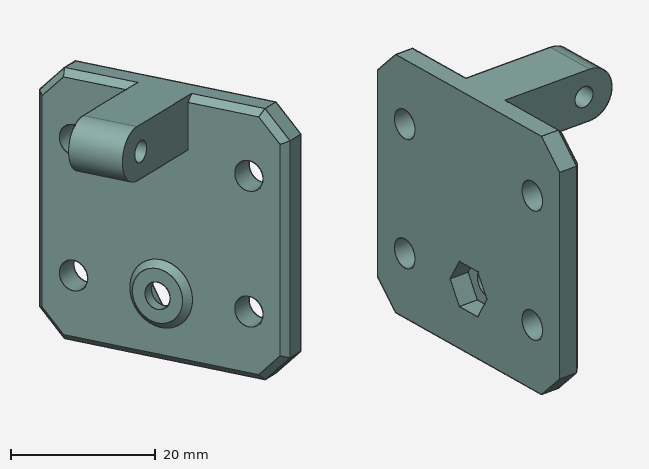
import cadquery as cq
import math

plate_size = 40.0
plate_thickness = 4.0
corner_cut = 4.0
edge_chamfer = 1.0

mount_hole_diameter = 4.5
mount_spacing_x = 28.0
mount_spacing_z = 20.0

lug_width = 8.6
lug_height = 8.0
lug_tip_reach = 22.0
pivot_reach = 17.0
pivot_hole_diameter = 3.2
lug_radius = lug_height / 2
lug_axis_z = plate_size / 2 - lug_radius

boss_base_diameter = 10.0
boss_height = 1.0
boss_hole_diameter = 4.0
boss_z = -mount_spacing_z / 2

nut_across_flats = 7.0
nut_across_corners = nut_across_flats / math.cos(math.pi / 6)
nut_pocket_depth = 3.2


def make_plate():
    """Square plate with cut corners and a chamfered front rim."""
    return (
        cq.Workplane("XZ")
        .rect(plate_size, plate_size)
        .extrude(plate_thickness)
        .edges("|Y")
        .chamfer(corner_cut)
        .faces("<Y")
        .chamfer(edge_chamfer)
    )


def make_lug():
    """Arm from the plate's back face to a half-round tip."""
    arc_start_y = -(lug_tip_reach - lug_radius)
    lug_top = lug_axis_z + lug_radius
    lug_bottom = lug_axis_z - lug_radius
    return (
        cq.Workplane("YZ")
        .moveTo(0, lug_top)
        .lineTo(arc_start_y, lug_top)
        .threePointArc((-lug_tip_reach, lug_axis_z), (arc_start_y, lug_bottom))
        .lineTo(0, lug_bottom)
        .close()
        .extrude(lug_width / 2, both=True)
    )


def make_boss():
    """Raised seat with a 45 degree flank."""
    return (
        cq.Workplane("XZ", origin=(0, -plate_thickness, boss_z))
        .circle(boss_base_diameter / 2)
        .extrude(boss_height, taper=45)
    )


def make_mount_holes():
    """Four holes at the corners of a rectangle centred on the plate."""
    return (
        cq.Workplane("XZ")
        .rect(mount_spacing_x, mount_spacing_z, forConstruction=True)
        .vertices()
        .circle(mount_hole_diameter / 2)
        .extrude(plate_thickness)
    )


def make_boss_hole():
    """Round hole through boss and plate."""
    return (
        cq.Workplane("XZ", origin=(0, 0, boss_z))
        .circle(boss_hole_diameter / 2)
        .extrude(plate_thickness + boss_height)
    )


def make_nut_pocket():
    """Hexagon with two corners along X and flats at top and bottom."""
    return (
        cq.Workplane("XZ", origin=(0, 0, boss_z))
        .polygon(6, nut_across_corners)
        .extrude(nut_pocket_depth)
    )


def make_pivot_hole():
    """Cross hole through the lug, parallel to X."""
    return (
        cq.Workplane("YZ", origin=(0, -pivot_reach, lug_axis_z))
        .circle(pivot_hole_diameter / 2)
        .extrude(lug_width / 2, both=True)
    )


body = make_plate().union(make_lug()).union(make_boss())
body = body.cut(make_mount_holes()).cut(make_pivot_hole())
result = body.cut(make_boss_hole()).cut(make_nut_pocket())